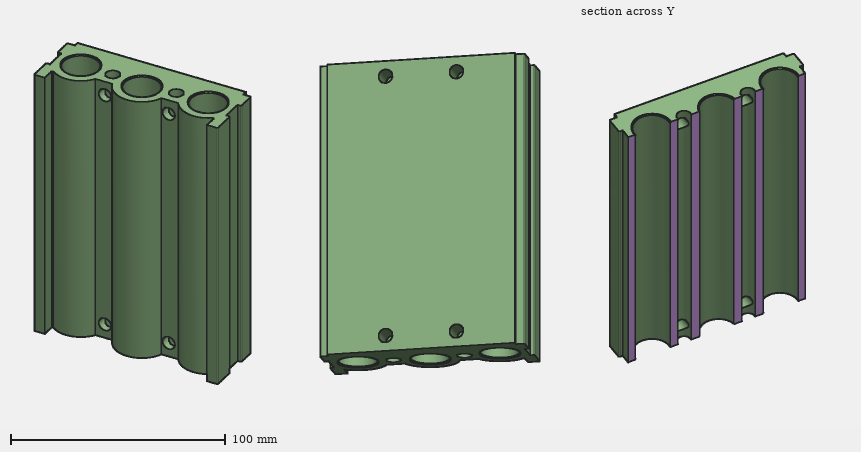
import cadquery as cq

length = 140.5
width = 98.0
depth = 34.5
half_width = width / 2

shoulder_width = 4.1
shoulder_depth = 2.5
groove_top = 12.0
groove_bottom = 22.8
groove_depth = 2.0
leg_width = 5.8
leg_root_depth = 27.8
corner_radius = 0.5

bore_pitch = 34.0
bore_diameter = 18.3
bore_chamfer = 0.5
wall_radius = 14.0
outer_bore_y = -16.6
middle_bore_y = -19.1
web_depth = 24.0

channel_x = bore_pitch / 2
channel_diameter = 7.0
cross_hole_diameter = 6.6
cross_hole_end_distance = 7.5

bore_centres = [
    (-bore_pitch, outer_bore_y),
    (0, middle_bore_y),
    (bore_pitch, outer_bore_y),
]


def block(x_min, x_max, top, bottom):
    """Full-length bar between two x positions and two depths below the back face."""
    return (
        cq.Workplane("XY")
        .center((x_min + x_max) / 2, -(top + bottom) / 2)
        .rect(x_max - x_min, bottom - top)
        .extrude(length)
    )


def side_rail(side):
    """Grooved side wall with its front leg; side is -1 for left and 1 for right."""
    outer = half_width
    inner = half_width - leg_width
    groove_floor = half_width - groove_depth
    outline = [
        (inner, shoulder_depth),
        (outer, shoulder_depth),
        (outer, groove_top),
        (groove_floor, groove_top),
        (groove_floor, groove_bottom),
        (outer, groove_bottom),
        (outer, depth),
        (inner, depth),
    ]
    rail = (
        cq.Workplane("XY")
        .polyline([(side * x, -y) for x, y in outline])
        .close()
        .extrude(length)
    )
    outer_face = ">X" if side > 0 else "<X"
    return rail.faces(outer_face).edges("|Z").fillet(corner_radius)


def profile_body():
    """Solid extrusion before drilling."""
    shoulder_x = half_width - shoulder_width
    leg_inner_x = half_width - leg_width
    body = block(-shoulder_x, shoulder_x, 0, shoulder_depth)
    body = body.union(block(-leg_inner_x, leg_inner_x, shoulder_depth, web_depth))
    for side in (-1, 1):
        body = body.union(side_rail(side))
        x_limits = sorted((side * bore_pitch, side * leg_inner_x))
        body = body.union(block(*x_limits, web_depth, leg_root_depth))
    for x, y in bore_centres:
        wall = cq.Workplane("XY").center(x, y).circle(wall_radius).extrude(length)
        inside = block(-leg_inner_x, leg_inner_x, shoulder_depth, depth)
        body = body.union(wall.intersect(inside))
    return body


def bore_cutter(x, y):
    """Through bore that opens out with a chamfer at both ends."""
    mouth_radius = bore_diameter / 2 + bore_chamfer
    cutter = cq.Workplane("XY").center(x, y).circle(bore_diameter / 2).extrude(length)
    for z, direction in ((0, 1), (length, -1)):
        cone = cq.Solid.makeCone(
            mouth_radius,
            bore_diameter / 2,
            bore_chamfer,
            pnt=cq.Vector(x, y, z),
            dir=cq.Vector(0, 0, direction),
        )
        cutter = cutter.union(cq.Workplane(cone))
    return cutter


def channel_cutter(x):
    """Lengthwise channel together with the two cross holes that meet it."""
    cutter = (
        cq.Workplane("XY")
        .center(x, outer_bore_y)
        .circle(channel_diameter / 2)
        .extrude(length)
    )
    for z in (cross_hole_end_distance, length - cross_hole_end_distance):
        cross_hole = (
            cq.Workplane("XZ")
            .center(x, z)
            .circle(cross_hole_diameter / 2)
            .extrude(depth)
        )
        cutter = cutter.union(cross_hole)
    return cutter


result = profile_body()
for bore_x, bore_y in bore_centres:
    result = result.cut(bore_cutter(bore_x, bore_y))
for channel_side in (-1, 1):
    result = result.cut(channel_cutter(channel_side * channel_x))